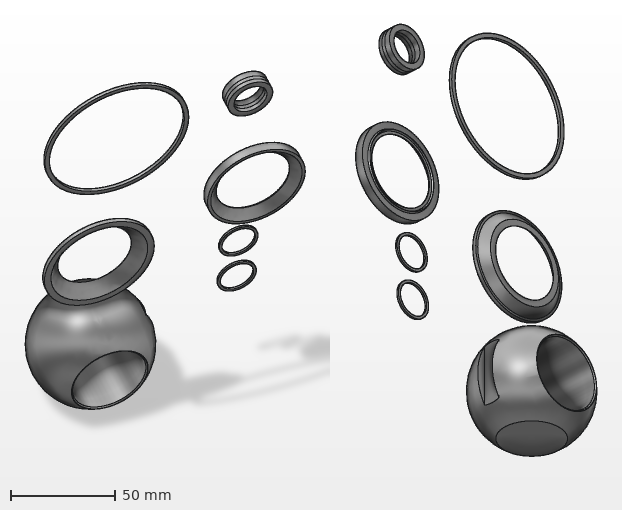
import math

import cadquery as cq

OVERALL_HEIGHT = 218.6
BACK_X = 5.0
PORT_DIAMETER = 38.0

BALL_DIAMETER = 62.7
BALL_LENGTH = 48.5
BALL_FLAT_DEPTH = 26.2
PORT_CHAMFER = 0.7
SLOT_WIDTH = 10.0
SLOT_FLOOR_Y = 26.5

GASKET_OUTER_DIAMETER = 74.5
GASKET_INNER_DIAMETER = 70.0
GASKET_THICKNESS = 1.7
GASKET_Y = 11.0
GASKET_Z = OVERALL_HEIGHT - BALL_FLAT_DEPTH - GASKET_OUTER_DIAMETER / 2
GASKET_CENTER = (GASKET_Y, GASKET_Z)

SEAT_CENTER = (0.0, 72.5)
SEAT_NOSE_DIAMETER = 45.0
SEAT_RIM_DIAMETER = 57.0
SEAT_SHOULDER = 1.3
SEAT_RIM_X = 9.0
SEAT_END_X = 11.1

RETAINER_CENTER = (82.0, 91.2)
RETAINER_DIAMETER = 50.7
RETAINER_THICKNESS = 4.8
LIP_OUTER_DIAMETER = 43.5
LIP_INNER_DIAMETER = 41.0
LIP_HEIGHT = 0.9
RETAINER_LAND = 0.5

PACKING_CENTER = (77.8, 161.3)
PACKING_OUTER_DIAMETER = 23.2
PACKING_INNER_DIAMETER = 17.0
PACKING_THICKNESSES = (3.3, 2.0, 2.2)

WASHER_CENTERS = ((74.3, 49.6), (73.5, 23.8))
WASHER_OUTER_DIAMETER = 20.1
WASHER_INNER_DIAMETER = 17.3
WASHER_THICKNESS = 1.0


def flat_ring(center, outer_diameter, inner_diameter, start_x, thickness):
    """Plain ring starting at start_x and growing toward +X."""
    return (
        cq.Workplane("YZ", origin=(start_x, *center))
        .circle(outer_diameter / 2)
        .circle(inner_diameter / 2)
        .extrude(thickness)
    )


def revolved_body(center, profile):
    """Body turned about its X axis from (x, radius) profile points."""
    return (
        cq.Workplane("XY")
        .polyline(profile)
        .close()
        .revolve(360, (0, 0, 0), (1, 0, 0))
        .translate((0, *center))
    )


def make_ball():
    """Sphere with port faces, a flat underside, a chamfered through bore and a stem slot."""
    envelope = cq.Workplane("XY").box(BALL_LENGTH, BALL_DIAMETER, BALL_DIAMETER)
    ball = cq.Workplane("XY").sphere(BALL_DIAMETER / 2).intersect(envelope)
    below_flat = (
        cq.Workplane("XY", origin=(0, 0, -BALL_FLAT_DEPTH))
        .rect(BALL_DIAMETER, BALL_DIAMETER)
        .extrude(-BALL_DIAMETER)
    )
    bore_radius = PORT_DIAMETER / 2
    mouth_radius = bore_radius + PORT_CHAMFER
    face_x = BALL_LENGTH / 2
    bore = revolved_body((0, 0), [
        (-face_x, 0),
        (-face_x, mouth_radius),
        (PORT_CHAMFER - face_x, bore_radius),
        (face_x - PORT_CHAMFER, bore_radius),
        (face_x, mouth_radius),
        (face_x, 0),
    ])
    slot = (
        cq.Workplane("XZ", origin=(0, SLOT_FLOOR_Y, 0))
        .rect(SLOT_WIDTH, 2 * BALL_DIAMETER)
        .extrude(-BALL_DIAMETER)
    )
    return ball.cut(below_flat).cut(bore).cut(slot)


def ball_socket(center, start_x):
    """Sphere fitting the ball, whose surface crosses the port diameter at start_x."""
    radius = BALL_DIAMETER / 2
    port_offset = math.sqrt(radius**2 - (PORT_DIAMETER / 2) ** 2)
    return cq.Workplane("XY").sphere(radius).translate((start_x + port_offset, *center))


def make_seat():
    """Cone ending at the narrow shoulder of a rim, with a spherical socket behind."""
    bore_radius = PORT_DIAMETER / 2
    nose_radius = SEAT_NOSE_DIAMETER / 2
    rim_radius = SEAT_RIM_DIAMETER / 2
    cone_end_radius = rim_radius - SEAT_SHOULDER
    seat = revolved_body(SEAT_CENTER, [
        (BACK_X, bore_radius),
        (BACK_X, nose_radius),
        (SEAT_RIM_X, cone_end_radius),
        (SEAT_RIM_X, rim_radius),
        (SEAT_END_X, rim_radius),
        (SEAT_END_X, bore_radius),
    ])
    return seat.cut(ball_socket(SEAT_CENTER, BACK_X))


def make_retainer():
    """Flat ring with a pointed lip on its -X face and a spherical socket on its +X face."""
    bore_radius = PORT_DIAMETER / 2
    lip_inner_radius = LIP_INNER_DIAMETER / 2
    lip_outer_radius = LIP_OUTER_DIAMETER / 2
    outer_radius = RETAINER_DIAMETER / 2
    lip_x = BACK_X - LIP_HEIGHT
    end_x = BACK_X + RETAINER_THICKNESS
    retainer = revolved_body(RETAINER_CENTER, [
        (BACK_X, bore_radius),
        (BACK_X, lip_inner_radius),
        (lip_x, (lip_inner_radius + lip_outer_radius) / 2),
        (BACK_X, lip_outer_radius),
        (BACK_X, outer_radius),
        (end_x, outer_radius),
        (end_x, bore_radius),
    ])
    return retainer.cut(ball_socket(RETAINER_CENTER, BACK_X + RETAINER_LAND))


def make_packing():
    """Packing rings, each starting where the previous one ends."""
    rings = []
    start_x = BACK_X
    for thickness in PACKING_THICKNESSES:
        ring = flat_ring(
            PACKING_CENTER, PACKING_OUTER_DIAMETER, PACKING_INNER_DIAMETER, start_x, thickness
        )
        rings.append(ring.val())
        start_x += thickness
    return rings


def make_washers():
    """Identical thin washers, one at each centre."""
    washers = []
    for center in WASHER_CENTERS:
        washer = flat_ring(
            center, WASHER_OUTER_DIAMETER, WASHER_INNER_DIAMETER, BACK_X, WASHER_THICKNESS
        )
        washers.append(washer.val())
    return washers


ball = make_ball()
gasket = flat_ring(
    GASKET_CENTER, GASKET_OUTER_DIAMETER, GASKET_INNER_DIAMETER, BACK_X, GASKET_THICKNESS
)
seat = make_seat()
retainer = make_retainer()
packing = make_packing()
washers = make_washers()

result = cq.Compound.makeCompound([
    ball.val(),
    gasket.val(),
    seat.val(),
    retainer.val(),
    *packing,
    *washers,
])